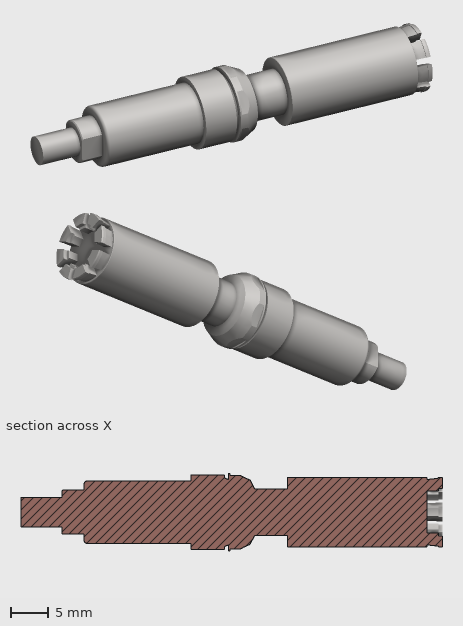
import cadquery as cq
import math


total_length = 57.0
crown_length = 2.15
sleeve_length = 18.85
neck_length = 4.4
nut_cone_length = 0.6
nut_dome_length = 1.85
nut_band_length = 1.1
groove_length = 0.5
collar_length = 4.6
barrel_length = 14.4
ferrule_length = 3.0

sleeve_radius = 4.75
neck_radius = 3.2
nut_shoulder_radius = 4.35
nut_radius = 5.25
groove_front_radius = 4.45
groove_rear_radius = 4.65
collar_radius = 5.05
barrel_radius = 4.25
ferrule_radius = 3.0
cable_radius = 2.0

sleeve_chamfer = 0.05
barrel_fillet = 0.45
ferrule_chamfer = 0.15

prong_count = 8
slot_width = 1.08
tip_taper_length = 0.2
tip_taper_step = 0.06
lip_length = 0.65
lip_step = 0.12
crown_root_radius = 4.45
mouth_radius = 3.2
mouth_depth = 0.6
bore_radius = 2.8

nut_flat_count = 6
nut_flat_distance = 5.0
nut_rim_length = 0.23
ferrule_flat_distance = 2.5

tip_y = total_length / 2
crown_root_y = tip_y - crown_length
sleeve_end_y = crown_root_y - sleeve_length
nut_front_y = sleeve_end_y - neck_length
nut_shoulder_y = nut_front_y - nut_cone_length
nut_band_y = nut_shoulder_y - nut_dome_length
nut_rear_y = nut_band_y - nut_band_length
collar_front_y = nut_rear_y - groove_length
collar_rear_y = collar_front_y - collar_length
barrel_end_y = collar_rear_y - barrel_length
ferrule_end_y = barrel_end_y - ferrule_length
cable_end_y = -total_length / 2


def rod(radius, front_y, rear_y):
    """Cylinder about the Y axis between two stations."""
    return cq.Workplane("XZ", origin=(0, front_y, 0)).circle(radius).extrude(front_y - rear_y)


def turned_body():
    """Solid of revolution carrying every round section of the probe."""
    lip_end_y = tip_y - lip_length
    fillet_mid = barrel_fillet * (1 - math.sqrt(0.5))
    profile = (
        cq.Workplane("XY")
        .moveTo(0, tip_y)
        .lineTo(sleeve_radius - tip_taper_step, tip_y)
        .lineTo(sleeve_radius, tip_y - tip_taper_length)
        .lineTo(sleeve_radius, lip_end_y)
        .lineTo(sleeve_radius - lip_step, lip_end_y)
        .lineTo(crown_root_radius, crown_root_y)
        .lineTo(sleeve_radius - sleeve_chamfer, crown_root_y)
        .lineTo(sleeve_radius, crown_root_y - sleeve_chamfer)
        .lineTo(sleeve_radius, sleeve_end_y + sleeve_chamfer)
        .lineTo(sleeve_radius - sleeve_chamfer, sleeve_end_y)
        .lineTo(neck_radius, sleeve_end_y)
        .lineTo(neck_radius, nut_front_y)
        .lineTo(nut_shoulder_radius, nut_shoulder_y)
        .lineTo(nut_radius, nut_band_y)
        .lineTo(nut_radius, nut_rear_y)
        .lineTo(groove_front_radius, nut_rear_y)
        .lineTo(groove_rear_radius, collar_front_y)
        .lineTo(collar_radius, collar_front_y)
        .lineTo(collar_radius, collar_rear_y)
        .lineTo(barrel_radius, collar_rear_y)
        .lineTo(barrel_radius, barrel_end_y + barrel_fillet)
        .threePointArc(
            (barrel_radius - fillet_mid, barrel_end_y + fillet_mid),
            (barrel_radius - barrel_fillet, barrel_end_y),
        )
        .lineTo(ferrule_radius, barrel_end_y)
        .lineTo(ferrule_radius, ferrule_end_y + ferrule_chamfer)
        .lineTo(ferrule_radius - ferrule_chamfer, ferrule_end_y)
        .lineTo(cable_radius, ferrule_end_y)
        .lineTo(cable_radius, cable_end_y)
        .lineTo(0, cable_end_y)
        .close()
    )
    return profile.revolve(360, (0, 0, 0), (0, 1, 0))


def cut_crown(body):
    """Hollow the crown with a stepped bore and slot its wall into prongs."""
    body = body.cut(rod(mouth_radius, tip_y, tip_y - mouth_depth))
    body = body.cut(rod(bore_radius, tip_y, crown_root_y))
    pitch = 360 / prong_count
    slot = cq.Workplane("XY").box(
        slot_width, crown_length, sleeve_radius, centered=(True, False, False)
    ).translate((0, crown_root_y, 0))
    for index in range(prong_count):
        angle = (index + 0.5) * pitch
        body = body.cut(slot.rotate((0, 0, 0), (0, 1, 0), angle))
    return body


def cut_nut_flats(body):
    """Mill hexagon flats on the nut, leaving a thin full-round rim at its rear."""
    across_corners = 2 * nut_flat_distance / math.cos(math.pi / nut_flat_count)
    flats_end_y = nut_rear_y + nut_rim_length
    flats_length = nut_front_y - flats_end_y
    blank = rod(2 * nut_radius, nut_front_y, flats_end_y)
    hexagon = (
        cq.Workplane("XZ", origin=(0, nut_front_y, 0))
        .polygon(nut_flat_count, across_corners)
        .extrude(flats_length)
    )
    return body.cut(blank.cut(hexagon))


def cut_ferrule_flats(body):
    """Mill two opposite flats on the ferrule, facing -X and +X."""
    depth = ferrule_radius - ferrule_flat_distance
    for side in (-1, 1):
        cutter = cq.Workplane("XY").box(
            depth, ferrule_length, 2 * ferrule_radius, centered=(True, False, True)
        ).translate((side * (ferrule_flat_distance + depth / 2), ferrule_end_y, 0))
        body = body.cut(cutter)
    return body


result = cut_ferrule_flats(cut_nut_flats(cut_crown(turned_body())))